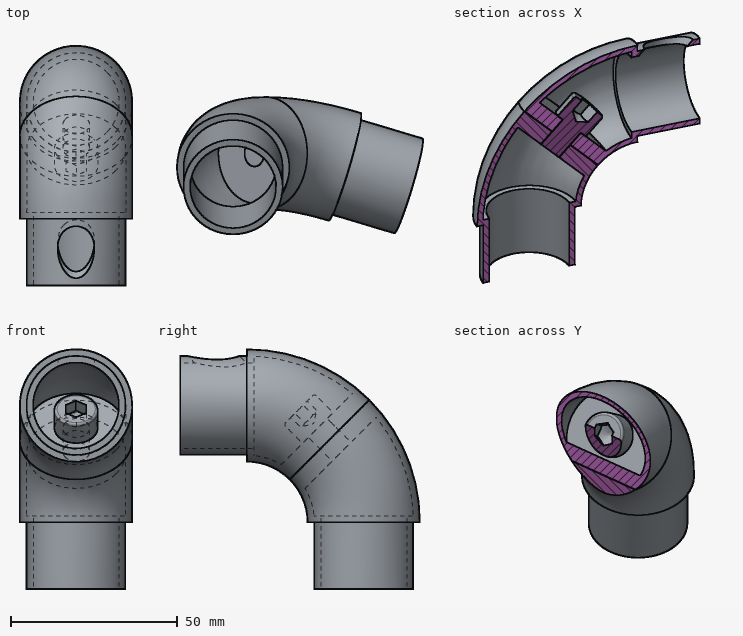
import cadquery as cq
import math

overall_length = 71.85
elbow_diameter = 33.7
bend_radius = 35.0
half_bend_angle = 45
cavity_diameter = 29.7
web_thickness = 5.0

tenon_diameter = 29.7
bore_diameter = 25.7
tenon_length = overall_length - bend_radius - elbow_diameter / 2
shoulder_thickness = 2.0
access_hole_diameter = 11.0

head_diameter = 13.0
head_height = 8.0
head_edge_radius = 0.8
shank_diameter = 8.0
shank_length = 2 * web_thickness
socket_across_flats = 6.0
socket_depth = 4.1
socket_cone_depth = 2.0

split_offset = bend_radius * math.sin(math.radians(half_bend_angle))
split_plane = cq.Plane(origin=(0, split_offset, split_offset), xDir=(1, 0, 0), normal=(0, -1, 1))


def bend_sector(diameter):
    """Solid bent bar from the vertical end face down to the split plane."""
    return (
        cq.Workplane("XZ")
        .center(0, bend_radius)
        .circle(diameter / 2)
        .revolve(half_bend_angle, (0, -bend_radius), (-1, -bend_radius))
    )


def tenon_cylinder(diameter, inset=0):
    """Straight cylinder along Y to the tenon tip, starting inset into the bend from its end face."""
    return (
        cq.Workplane("XZ", origin=(0, inset, bend_radius))
        .circle(diameter / 2)
        .extrude(inset + tenon_length)
    )


def split_cylinder(diameter, start, length):
    """Cylinder on the screw axis, starting at a height above the split plane."""
    return cq.Workplane(split_plane).workplane(offset=start).circle(diameter / 2).extrude(length)


def make_half():
    """Upper half of the elbow, with its tenon, web and screw hole."""
    web_space = split_cylinder(elbow_diameter * 2, 0, web_thickness)
    shoulder = tenon_cylinder(elbow_diameter, shoulder_thickness)
    cavity = bend_sector(cavity_diameter).cut(web_space).cut(shoulder)
    screw_hole = split_cylinder(shank_diameter, 0, web_thickness)
    return (
        bend_sector(elbow_diameter)
        .union(tenon_cylinder(tenon_diameter))
        .cut(cavity)
        .cut(tenon_cylinder(bore_diameter, shoulder_thickness))
        .cut(screw_hole)
    )


def make_access_hole():
    """Tool hole through the top of the tenon at mid length, parallel to the screw."""
    hole_centre = (0, -tenon_length / 2, bend_radius + tenon_diameter / 2)
    hole_plane = cq.Plane(origin=hole_centre, xDir=(1, 0, 0), normal=split_plane.zDir)
    reach = access_hole_diameter
    return cq.Workplane(hole_plane).circle(access_hole_diameter / 2).extrude(reach, both=True)


def make_screw():
    """Socket head screw with its head seated on the upper web."""
    head_top = web_thickness + head_height
    head = split_cylinder(head_diameter, web_thickness, head_height)
    head = head.faces(cq.selectors.DirectionMinMaxSelector(split_plane.zDir)).edges().fillet(head_edge_radius)
    shank = split_cylinder(shank_diameter, web_thickness - shank_length, shank_length)
    across_corners = socket_across_flats / math.cos(math.pi / 6)
    prism = (
        cq.Workplane(split_plane)
        .workplane(offset=head_top)
        .transformed(rotate=(0, 0, 90))
        .polygon(6, across_corners)
        .extrude(-(socket_depth + socket_cone_depth))
    )
    straight_part = split_cylinder(across_corners, head_top - socket_depth, socket_depth)
    conical_floor = cq.Solid.makeCone(
        across_corners / 2,
        0,
        socket_cone_depth,
        pnt=split_plane.toWorldCoords((0, 0, head_top - socket_depth)),
        dir=-split_plane.zDir,
    )
    socket = prism.intersect(straight_part.union(cq.Workplane(conical_floor)))
    return head.union(shank).cut(socket)


plain_half = make_half()
upper_half = plain_half.cut(make_access_hole())
lower_half = plain_half.rotate((0, 0, 0), (0, 1, 1), 180)
screw = make_screw()

result = cq.Compound.makeCompound([upper_half.val(), lower_half.val(), screw.val()])